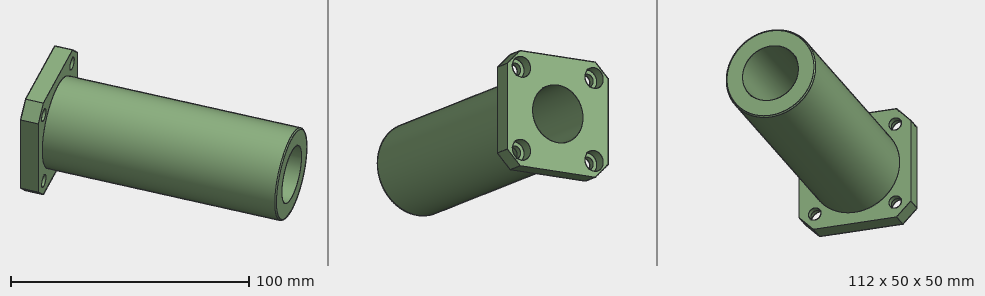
import cadquery as cq

total_length = 112.0
flange_side = 50.0
flange_thickness = 8.0
flange_corner_chamfer = 6.4

sleeve_diameter = 40.0
bore_diameter = 25.0
end_chamfer = 0.6

hole_spacing = 36.0
hole_diameter = 5.5
counterbore_diameter = 9.0
counterbore_depth = 5.2


def make_flange():
    """Square plate with chamfered corners, its outer face on the YZ plane."""
    plate = cq.Workplane("YZ").rect(flange_side, flange_side).extrude(flange_thickness)
    return plate.edges("|X").chamfer(flange_corner_chamfer)


def make_sleeve():
    """Round sleeve along X, chamfered at its free end."""
    sleeve = cq.Workplane("YZ").circle(sleeve_diameter / 2).extrude(total_length)
    return sleeve.faces(">X").edges().chamfer(end_chamfer)


def make_corner_holes(diameter, depth):
    """Four cylinders at the mounting positions, starting at the outer face."""
    return (
        cq.Workplane("YZ")
        .rect(hole_spacing, hole_spacing, forConstruction=True)
        .vertices()
        .circle(diameter / 2)
        .extrude(depth)
    )


bore = cq.Workplane("YZ").circle(bore_diameter / 2).extrude(total_length)

result = (
    make_flange()
    .union(make_sleeve())
    .cut(bore)
    .cut(make_corner_holes(hole_diameter, flange_thickness))
    .cut(make_corner_holes(counterbore_diameter, counterbore_depth))
)